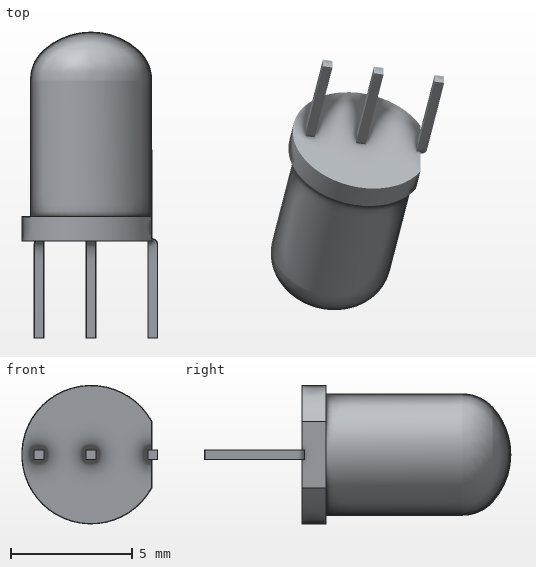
import cadquery as cq
import math


body_radius = 2.5
flange_radius = 2.85
flange_thickness = 1.0
body_length = 8.6
dome_height = 2.0
cap_radius = 2.9

lead_width = 0.4
lead_length = 4.0
left_lead_x = -2.14
middle_lead_x = 0.0
right_lead_x = 2.54
bend_radius = 0.25
lead_top = 0.1

cap_drop = cap_radius - dome_height
shoulder_radius = (cap_radius**2 - cap_drop**2 - body_radius**2) / (2 * (cap_radius - body_radius))
dome_base = body_length - dome_height
cap_center_y = body_length - cap_radius
shoulder_center_r = body_radius - shoulder_radius
junction_angle = math.atan2(cap_drop, shoulder_center_r)


def arc_point(center_r, center_y, radius, angle):
    """(y, z) profile point on an arc; the angle turns from the radial direction toward +Y."""
    return (center_y + radius * math.sin(angle), center_r + radius * math.cos(angle))


def make_body():
    """Flange and domed cylinder, revolved about Y as one half profile in the YZ plane."""
    junction = arc_point(0, cap_center_y, cap_radius, junction_angle)
    shoulder_middle = arc_point(shoulder_center_r, dome_base, shoulder_radius, junction_angle / 2)
    cap_middle = arc_point(0, cap_center_y, cap_radius, (junction_angle + math.pi / 2) / 2)
    profile = (
        cq.Workplane("YZ")
        .lineTo(0, flange_radius)
        .lineTo(flange_thickness, flange_radius)
        .lineTo(flange_thickness, body_radius)
        .lineTo(dome_base, body_radius)
        .threePointArc(shoulder_middle, junction)
        .threePointArc(cap_middle, (body_length, 0))
        .close()
    )
    return profile.revolve(360, (0, 0, 0), (1, 0, 0))


def make_flange_cutter():
    """Block that trims the +X side of the flange flush with the side of the body."""
    return cq.Workplane("XY").box(
        flange_radius, flange_thickness, 2 * flange_radius, centered=(False, False, True)
    ).translate((body_radius, 0, 0))


def make_lead(center_x):
    """Square lead running from inside the flange down to its tip."""
    return cq.Workplane("XY").box(
        lead_width, lead_length + lead_top, lead_width, centered=(True, False, True)
    ).translate((center_x, -lead_length, 0))


def make_outer_lead(center_x):
    """Lead whose top corner facing away from the axis is rounded."""
    outer_side = "<X" if center_x < 0 else ">X"
    return make_lead(center_x).faces(outer_side).edges(">Y").fillet(bend_radius)


result = make_body().cut(make_flange_cutter()).union(make_lead(middle_lead_x))
for outer_x in (left_lead_x, right_lead_x):
    result = result.union(make_outer_lead(outer_x))